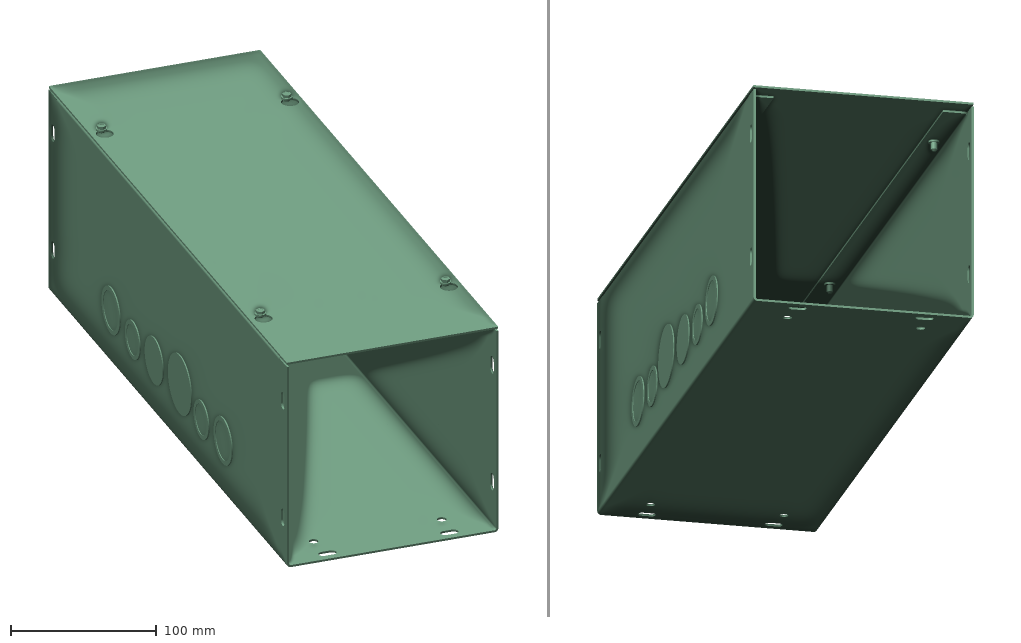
import cadquery as cq

length = 457.0
sheet = 1.5
housing_width = 155.5
housing_height = 155.5
bend_radius = 2.7
flange_width = 18.0
flange_end_gap = 15.5

knockout_lift = 1.0
centre_depth = 0.5
knockout_bottom = 24.0
knockouts = [
    (-107.5, 34.7, 28.5),
    (-66.0, 28.5, 22.5),
    (-24.5, 34.7, None),
    (24.5, 44.5, None),
    (66.0, 28.5, 22.5),
    (107.5, 34.7, 28.5),
]

slot_length = 13.0
slot_width = 6.5
slot_end_offset = 8.2
slot_half_spacing = 45.0
wall_slot_middle = 79.5
floor_hole_diameter = 6.5
floor_hole_end_offset = 29.0
floor_hole_half_spacing = 47.0

cover_length = 456.5
keyhole_diameter = 12.5
keyhole_shift = 6.5
keyhole_neck_width = 6.5

screw_x = 152.2
screw_wall_offset = 9.5
shank_diameter = 4.5
washer_diameter = 8.0
washer_height = 1.5
hex_corner_diameter = 6.5
head_height = 2.1
dimple_diameter = 4.05
dimple_depth = 0.25
shank_tip_depth = 10.5
tip_chamfer = 1.5
collar_diameter = 8.0
collar_drop = 1.5

cover_top = housing_height + sheet
screw_y = housing_width / 2 - screw_wall_offset
screw_points = [(x, y) for x in (-screw_x, screw_x) for y in (-screw_y, screw_y)]


def box(x_range, y_range, z_range):
    """Axis-aligned box from its lower and upper limits."""
    (x0, x1), (y0, y1), (z0, z1) = x_range, y_range, z_range
    return cq.Workplane("XY").box(x1 - x0, y1 - y0, z1 - z0, centered=False).translate((x0, y0, z0))


def cylinders(points, diameter, z_low, z_high):
    """Upright cylinders at the given points."""
    return (
        cq.Workplane("XY", origin=(0, 0, z_low))
        .pushPoints(points)
        .circle(diameter / 2)
        .extrude(z_high - z_low)
    )


def sheet_profile(x_range, rounded_edges):
    """Closed rectangular sheet tube over a stretch of the length, bent at the chosen edges."""
    half_width = housing_width / 2
    inside_half_width = half_width - sheet
    outer = box(x_range, (-half_width, half_width), (0, housing_height))
    inner = box(x_range, (-inside_half_width, inside_half_width), (sheet, housing_height - sheet))
    outer = outer.edges(rounded_edges).fillet(bend_radius)
    return outer.cut(inner.edges(rounded_edges).fillet(bend_radius - sheet))


def make_channel():
    """Folded sheet: floor, two walls and two top flanges that stop short of both ends."""
    half_length = length / 2
    flange_half_length = half_length - flange_end_gap
    flange_range = (-flange_half_length, flange_half_length)
    flange_edge = housing_width / 2 - flange_width
    top_z = (housing_height - sheet, housing_height)
    opening = box(flange_range, (-flange_edge, flange_edge), top_z)
    channel = sheet_profile(flange_range, "|X").cut(opening)

    for x_range in ((-half_length, -flange_half_length), (flange_half_length, half_length)):
        top = box(x_range, (-housing_width / 2, housing_width / 2), top_z)
        channel = channel.union(sheet_profile(x_range, "|X and <Z").cut(top))
    return channel


def add_knockouts(channel):
    """Raised discs on both walls; some have a slightly recessed centre."""
    half_width = housing_width / 2
    for x, diameter, centre_diameter in knockouts:
        z = knockout_bottom + diameter / 2
        for side in (-1, 1):
            plane = cq.Workplane("XZ", origin=(x, side * half_width, z))
            channel = channel.union(plane.circle(diameter / 2).extrude(-side * knockout_lift))
            if centre_diameter:
                face = cq.Workplane("XZ", origin=(x, side * (half_width + knockout_lift), z))
                channel = channel.cut(face.circle(centre_diameter / 2).extrude(side * centre_depth))
    return channel


def cut_mounting_openings(channel):
    """Upright slots through both walls, and slots and round holes through the floor."""
    slot_x = length / 2 - slot_end_offset
    hole_x = length / 2 - floor_hole_end_offset
    for end in (-1, 1):
        for side in (-1, 1):
            across = side * slot_half_spacing
            wall_slot = (
                cq.Workplane("XZ", origin=(end * slot_x, 0, wall_slot_middle + across))
                .slot2D(slot_length, slot_width, 90)
                .extrude(housing_width, both=True)
            )
            floor_slot = (
                cq.Workplane("XY", origin=(end * slot_x, across, 0))
                .slot2D(slot_length, slot_width, 90)
                .extrude(sheet)
            )
            hole_point = (end * hole_x, side * floor_hole_half_spacing)
            floor_hole = cylinders([hole_point], floor_hole_diameter, 0, sheet)
            channel = channel.cut(wall_slot).cut(floor_slot).cut(floor_hole)
    return channel


def make_housing():
    """Channel with its knockouts and openings, and a drilled collar under each flange hole."""
    housing = cut_mounting_openings(add_knockouts(make_channel()))
    collar_bottom = housing_height - sheet - collar_drop
    collars = cylinders(screw_points, collar_diameter, collar_bottom, housing_height - sheet)
    housing = housing.union(collars)
    return housing.cut(cylinders(screw_points, shank_diameter, collar_bottom, housing_height))


def make_cover():
    """Flat plate with four keyholes; each neck reaches toward -X to its screw."""
    cover = (
        cq.Workplane("XY", origin=(0, 0, housing_height))
        .box(cover_length, housing_width, sheet, centered=(True, True, False))
    )
    for x, y in screw_points:
        hole = cylinders([(x + keyhole_shift, y)], keyhole_diameter, housing_height, cover_top)
        neck_end = cylinders([(x, y)], keyhole_neck_width, housing_height, cover_top)
        half_neck = keyhole_neck_width / 2
        neck = box((x, x + keyhole_shift), (y - half_neck, y + half_neck), (housing_height, cover_top))
        cover = cover.cut(hole).cut(neck_end).cut(neck)
    return cover


def make_screw(x, y):
    """Hex screw with a washer face, a dimpled head and a chamfered tip."""
    washer_top = cover_top + washer_height
    shank = cylinders([(x, y)], shank_diameter, cover_top - shank_tip_depth, cover_top)
    shank = shank.faces("<Z").chamfer(tip_chamfer)
    washer = cylinders([(x, y)], washer_diameter, cover_top, washer_top)
    head = (
        cq.Workplane("XY", origin=(x, y, washer_top))
        .polygon(6, hex_corner_diameter)
        .extrude(head_height)
    )
    head_top = washer_top + head_height
    dimple = cylinders([(x, y)], dimple_diameter, head_top - dimple_depth, head_top)
    return shank.union(washer).union(head).cut(dimple)


housing = make_housing()
cover = make_cover()
screws = [make_screw(x, y) for x, y in screw_points]

result = cq.Compound.makeCompound([housing.val(), cover.val(), *[screw.val() for screw in screws]])